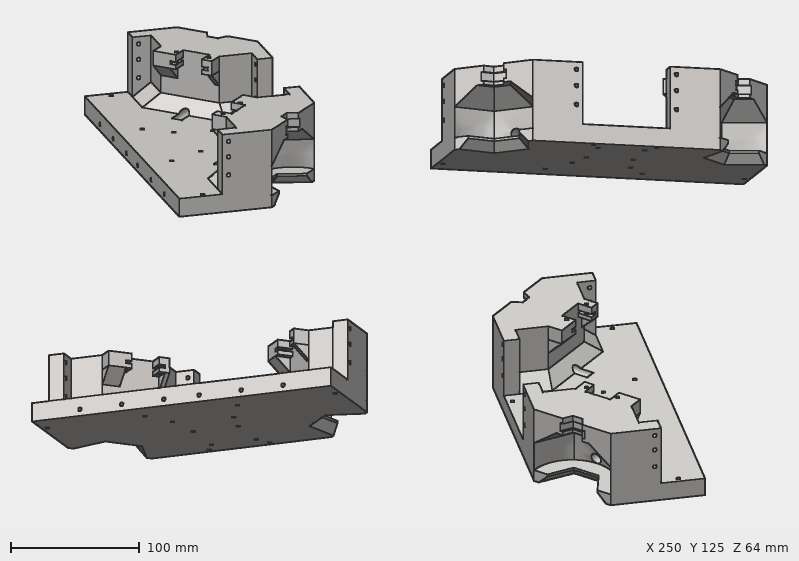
import cadquery as cq
import math

length = 250.0
width = 125.0
plate_height = 15.0
total_height = 64.0
corner_cut = 50.0

block_reach = 90.0
end_wall = 12.5
window_recess = 15.0
wall_depth = 45.0

apron_top = 25.8
apron_run = 10.5

lip_depth = 57.5
lip_bottom = 52.0
lip_width = 51.2

cutout_offset = 5.5
gap_width = 23.0
slot_width = 33.0
slot_bottom = 55.5
slot_top = 58.0
clamp_hole_diameter = 3.0
clamp_hole_spacing = 28.5
clamp_hole_depth = 51.0

wedge_bottom = 40.0

neck_radius = 9.0
nut_radius = 11.2
shoulder_radius = 15.0
chamber_radius = 35.2
throat_radius = 23.0
mouth_radius = 31.0
nut_bottom = 52.0
nut_top = 59.0
shoulder_height = 49.0
chamber_top = 34.0
chamber_bottom = 9.8
throat_bottom = 7.8

passage_diameter = 9.0
passage_height = 14.5
passage_start = 30.0
passage_end = 66.8

wall_hole_diameter = 3.0
wall_hole_inset = 5.0
wall_hole_heights = (30.2, 45.2, 58.0)
front_hole_diameter = 3.0
front_hole_depth = 12.5
front_hole_height = 5.2
front_hole_offsets = (14.8, 50.0, 85.0)
plate_hole_diameter = 3.0
plate_hole_pairs = (
    (25.2, 120.2),
    (18.8, 108.8),
    (18.8, 71.2),
    (38.8, 20.2),
    (120.5, 20.2),
)
plate_hole_singles = ((100.8, 41.5), (149.2, 48.2))

middle = length / 2
diagonal = math.sqrt(2)


def plan_prism(points, bottom, top):
    return cq.Workplane("XY").workplane(offset=bottom).polyline(points).close().extrude(top - bottom)


def mirror_to_right(shape):
    return shape.mirror("YZ", (middle, 0, 0))


def at_block(shape, side):
    """Place a shape on the left or right block, its X along the slanted face and its -Y into the block."""
    turn = 45 if side == "left" else -45
    centre_x = corner_cut / 2 if side == "left" else length - corner_cut / 2
    return shape.rotate((0, 0, 0), (0, 0, 1), turn).translate((centre_x, width - corner_cut / 2, 0))


def make_plate():
    outline = [
        (0, 0),
        (length, 0),
        (length, width - corner_cut),
        (length - corner_cut, width),
        (corner_cut, width),
        (0, width - corner_cut),
    ]
    return plan_prism(outline, 0, plate_height)


def make_block():
    front = width - block_reach
    inner_x = block_reach - window_recess
    inner_y = front + window_recess
    wall_line = wall_depth * diagonal - (width - corner_cut)
    foot_line = (wall_depth + apron_run) * diagonal - (width - corner_cut)
    walls = [
        (0, front),
        (end_wall, front),
        (end_wall, inner_y),
        (inner_y + wall_line, inner_y),
        (inner_x, inner_x - wall_line),
        (inner_x, width - end_wall),
        (block_reach, width - end_wall),
        (block_reach, width),
        (corner_cut, width),
        (0, width - corner_cut),
    ]
    apron_foot = [
        (end_wall, front),
        (front + foot_line, front),
        (block_reach, block_reach - foot_line),
        (block_reach, width - end_wall),
        (corner_cut, width - end_wall),
        (end_wall, width - corner_cut),
    ]
    apron_crest = [
        (end_wall, inner_y),
        (inner_y + wall_line, inner_y),
        (inner_x, inner_x - wall_line),
        (inner_x, width - end_wall),
        (corner_cut, width - end_wall),
        (end_wall, width - corner_cut),
    ]
    apron = (
        cq.Workplane("XY")
        .workplane(offset=plate_height)
        .polyline(apron_foot)
        .close()
        .workplane(offset=apron_top - plate_height)
        .polyline(apron_crest)
        .close()
        .loft(ruled=True)
    )
    return plan_prism(walls, plate_height, total_height).union(apron)


def make_lip():
    lip_length = lip_depth - wall_depth
    lip_height = total_height - lip_bottom
    lip = cq.Workplane("XY").box(lip_width, lip_length, lip_height, centered=(True, False, False))
    return lip.translate((0, -lip_depth, lip_bottom))


def lip_box(box_width, bottom, top):
    lip_length = lip_depth - wall_depth
    box = cq.Workplane("XY").box(box_width, lip_length, top - bottom, centered=(True, False, False))
    return box.translate((cutout_offset, -lip_depth, bottom))


def make_lip_cutouts():
    cutouts = lip_box(gap_width, lip_bottom, total_height)
    cutouts = cutouts.union(lip_box(slot_width, slot_bottom, slot_top))
    clamp_holes = (
        cq.Workplane("XY")
        .workplane(offset=lip_bottom)
        .center(cutout_offset, -clamp_hole_depth)
        .rarray(clamp_hole_spacing, 2.5, 2, 1)
        .circle(clamp_hole_diameter / 2)
        .extrude(total_height - lip_bottom)
    )
    return cutouts.union(clamp_holes)


def make_wedge(start, end):
    """Triangular brace under the lip, from start to end along the slanted wall."""
    profile = [
        (-wall_depth, wedge_bottom),
        (-lip_depth, lip_bottom),
        (-wall_depth, lip_bottom),
    ]
    return cq.Workplane("YZ", origin=(start, 0, 0)).polyline(profile).close().extrude(end - start)


def hexagon_prism(radius, bottom, top):
    return cq.Workplane("XY").workplane(offset=bottom).polygon(6, 2 * radius).extrude(top - bottom)


def hexagon_taper(bottom_radius, top_radius, bottom, top):
    base = cq.Workplane("XY").workplane(offset=bottom).polygon(6, 2 * bottom_radius)
    return base.workplane(offset=top - bottom).polygon(6, 2 * top_radius).loft(ruled=True)


def make_chamber():
    """Round at the floor and hexagonal at the top, one sixth of the circle for each side."""
    side_angle = 60

    def floor_point(degrees):
        angle = math.radians(degrees)
        return (chamber_radius * math.cos(angle), chamber_radius * math.sin(angle))

    floor = cq.Workplane("XY").workplane(offset=chamber_bottom).moveTo(*floor_point(0))
    for start in range(0, 360, side_angle):
        floor = floor.threePointArc(floor_point(start + side_angle / 2), floor_point(start + side_angle))
    roof = floor.close().workplane(offset=chamber_top - chamber_bottom).polygon(6, 2 * chamber_radius)
    return roof.loft(ruled=True)


def make_hollow():
    hollow = hexagon_taper(mouth_radius, throat_radius, 0, throat_bottom)
    hollow = hollow.union(hexagon_prism(throat_radius, throat_bottom, chamber_bottom))
    hollow = hollow.union(make_chamber())
    hollow = hollow.union(hexagon_taper(chamber_radius, shoulder_radius, chamber_top, shoulder_height))
    hollow = hollow.union(hexagon_prism(neck_radius, shoulder_height, total_height))
    return hollow.union(hexagon_prism(nut_radius, nut_bottom, nut_top))


def make_passage():
    radius = passage_diameter / 2
    bore = (
        cq.Workplane("XZ", origin=(0, -passage_start, passage_height))
        .circle(radius)
        .extrude(passage_end + radius - passage_start)
    )
    slanted_end = [
        (-passage_start, passage_height - radius),
        (radius - passage_end, passage_height - radius),
        (-radius - passage_end, passage_height + radius),
        (-passage_start, passage_height + radius),
    ]
    return bore.intersect(cq.Workplane("YZ").polyline(slanted_end).close().extrude(radius, both=True))


def make_wall_holes():
    """Holes through the two end walls of the left block."""
    rear = cq.Workplane("XZ", origin=(block_reach - wall_hole_inset, width, 0))
    side = cq.Workplane("YZ", origin=(0, width - block_reach + wall_hole_inset, 0))
    spots = [(0, height) for height in wall_hole_heights]
    rear_holes = rear.pushPoints(spots).circle(wall_hole_diameter / 2).extrude(end_wall)
    side_holes = side.pushPoints(spots).circle(wall_hole_diameter / 2).extrude(end_wall)
    return rear_holes.union(side_holes)


def make_front_holes():
    columns = [middle + sign * offset for offset in front_hole_offsets for sign in (-1, 1)]
    spots = [(x, front_hole_height) for x in columns]
    return cq.Workplane("XZ").pushPoints(spots).circle(front_hole_diameter / 2).extrude(-front_hole_depth)


def make_plate_holes():
    spots = [(middle + sign * offset, y) for offset, y in plate_hole_pairs for sign in (-1, 1)]
    spots.extend(plate_hole_singles)
    return cq.Workplane("XY").pushPoints(spots).circle(plate_hole_diameter / 2).extrude(plate_height)


def make_housing():
    block = make_block()
    wall_holes = make_wall_holes()
    housing = make_plate().union(block).union(mirror_to_right(block))
    for side in ("left", "right"):
        housing = housing.union(at_block(make_lip(), side))
        for cut in (make_lip_cutouts(), make_hollow(), make_passage()):
            housing = housing.cut(at_block(cut, side))
    housing = housing.cut(wall_holes).cut(mirror_to_right(wall_holes))
    return housing.cut(make_front_holes()).cut(make_plate_holes())


housing = make_housing()

wedge_spans = (
    (-lip_width / 2, cutout_offset - slot_width / 2),
    (cutout_offset + slot_width / 2, lip_width / 2),
)
wedges = []
for side in ("left", "right"):
    for start, end in wedge_spans:
        wedges.append(at_block(make_wedge(start, end), side).val())

result = cq.Compound.makeCompound([housing.val(), *wedges])